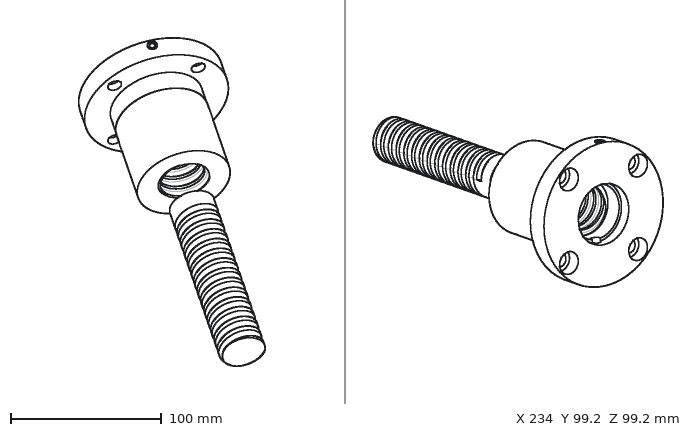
import cadquery as cq
import math

overall_length = 234.0

flange_diameter = 99.2
flange_thickness = 15.0
body_diameter = 64.0
neck_diameter = 63.6
neck_end = 29.0
nut_length = 84.0

recess_diameter = 41.9
recess_depth = 8.0
relief_diameter = 38.0
relief_end = 20.4
bore_diameter = 31.5

bolt_offset = 28.8
bolt_diameter = 9.4
counterbore_diameter = 15.5
counterbore_depth = 9.5

oil_hole_x = 4.2
oil_hole_diameter = 3.7
oil_seat_diameter = 6.5
oil_seat_depth = 0.7
pocket_x = 9.1
pocket_diameter = 7.0
pocket_floor_radius = 30.5

screw_start = 104.8
screw_diameter = 30.9

track_start = 117.0
track_turns = 13.7
track_lead = (overall_length - track_start) / track_turns
track_radius = 16.1
ball_radius = 2.5
nut_track_start = 13.5
nut_flank_radius = 17.3


def cylinder(diameter, x_start, x_end):
    """Solid cylinder on the X axis between two stations."""
    return cq.Workplane("YZ", origin=(x_start, 0, 0)).circle(diameter / 2).extrude(x_end - x_start)


def screw_track_profile():
    """Round section of the screw track, in the XZ plane at the start of the helix."""
    return cq.Workplane("XZ", origin=(track_radius, 0, 0)).circle(ball_radius)


def nut_track_profile():
    """Round-bottomed section of the nut track whose straight flanks open tangentially into the bore."""
    arc_rise = nut_flank_radius - track_radius
    arc_half_width = math.sqrt(ball_radius**2 - arc_rise**2)
    mouth_half_width = arc_half_width + 2 * arc_rise**2 / arc_half_width
    return (
        cq.Workplane("XZ", origin=(track_radius, 0, 0))
        .moveTo(-arc_rise, -mouth_half_width)
        .lineTo(arc_rise, -arc_half_width)
        .threePointArc((ball_radius, 0), (arc_rise, arc_half_width))
        .lineTo(-arc_rise, mouth_half_width)
        .close()
    )


def cut_track(body, profile, x_start, x_end):
    """Cut a track turn by turn, from the +Y side at x_start until it has run out past x_end."""
    helix = cq.Wire.makeHelix(track_lead, track_lead, track_radius)
    turn = profile.sweep(helix, isFrenet=True).rotate((0, 0, 0), (1, 1, 1), 120)
    turns = math.ceil((x_end + track_lead / 2 - x_start) / track_lead)
    for index in range(turns):
        body = body.cut(turn.translate((x_start + index * track_lead, 0, 0)))
    return body


def bolt_holes():
    """Four counterbored holes through the flange, opening on its front face."""
    centres = [(y, z) for y in (-bolt_offset, bolt_offset) for z in (-bolt_offset, bolt_offset)]
    plane = cq.Workplane("YZ").pushPoints(centres)
    shanks = plane.circle(bolt_diameter / 2).extrude(flange_thickness)
    heads = plane.circle(counterbore_diameter / 2).extrude(counterbore_depth)
    return shanks.union(heads)


def oil_holes():
    """Seated hole from the top of the flange into the recess, and a blind pocket opposite it."""
    rim = flange_diameter / 2
    top = cq.Workplane("XY").center(oil_hole_x, 0)
    hole = top.circle(oil_hole_diameter / 2).extrude(rim)
    seat_floor = top.workplane(offset=rim - oil_seat_depth)
    seat = seat_floor.circle(oil_seat_diameter / 2).extrude(oil_seat_depth)
    pocket = cq.Workplane("XY").center(pocket_x, 0).circle(pocket_diameter / 2).extrude(-pocket_floor_radius)
    return hole.union(seat).union(pocket)


def make_nut():
    nut = cylinder(flange_diameter, 0, flange_thickness)
    nut = nut.union(cylinder(neck_diameter, 0, neck_end))
    nut = nut.union(cylinder(body_diameter, neck_end, nut_length))
    nut = nut.cut(cylinder(recess_diameter, 0, recess_depth))
    nut = nut.cut(cylinder(relief_diameter, 0, relief_end))
    nut = nut.cut(cylinder(bore_diameter, 0, nut_length))
    nut = nut.cut(bolt_holes()).cut(oil_holes())
    return cut_track(nut, nut_track_profile(), nut_track_start, nut_length)


def make_screw():
    screw = cylinder(screw_diameter, screw_start, overall_length)
    return cut_track(screw, screw_track_profile(), track_start, overall_length)


nut = make_nut()
screw = make_screw()

result = cq.Compound.makeCompound([nut.solids().val(), screw.solids().val()])